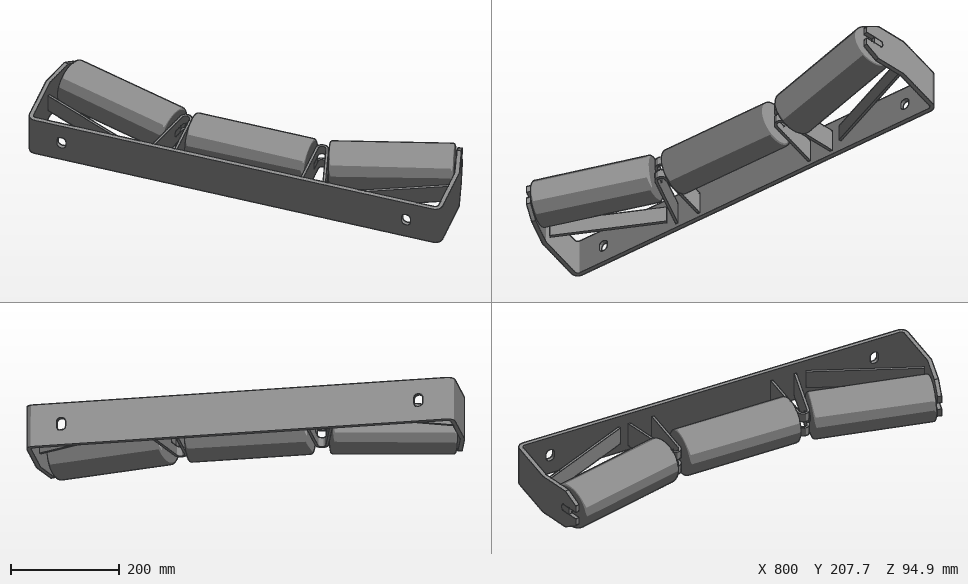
import cadquery as cq
import math


trough_angle = 15.0

frame_length = 800.0
frame_height = 82.0
frame_thickness = 8.0
corner_radius = 14.0
ear_bend_radius = 10.0
side_depth = 110.0
ear_length = 90.0
ear_tip_height = 45.0
ear_taper_length = 29.0
mount_slot_width = 17.0
mount_slot_height = 25.0
mount_slot_corner = 8.0
mount_slot_x = 334.0

roller_diameter = 89.0
roller_length = 230.0
roller_edge_radius = 5.0
roller_y = 101.0
side_shaft_below_bend = 14.0
roller_drop = 6.0
middle_gap = 5.0
side_gap = 3.0
neck_clearance = 0.4
shaft_diameter = 20.0
shaft_flat_width = 14.0

hoop_thickness = 5.0
hoop_height = 50.0
hoop_bend_radius = 12.0
hoop_bend_y = 116.0

brace_thickness = 5.0
brace_height = 36.0
brace_foot_x = 193.0
brace_head_y = 96.0

lean = math.radians(trough_angle)
lean_sin = math.sin(lean)
lean_cos = math.cos(lean)
half_length = frame_length / 2
half_height = frame_height / 2
hoop_bend_x = roller_length / 2 + middle_gap + hoop_bend_radius

bend_to_roller = hoop_bend_radius + side_gap
side_x = hoop_bend_x + bend_to_roller * lean_cos + side_shaft_below_bend * lean_sin
side_y = hoop_bend_y + bend_to_roller * lean_sin - side_shaft_below_bend * lean_cos
side_rise = math.degrees(math.asin(roller_drop / roller_length))

middle_reach = middle_gap + hoop_thickness
side_reach = side_gap + hoop_thickness
side_span = (half_length - side_x) * lean_cos + (side_depth - side_y) * lean_sin
ear_reach = side_span - roller_length
ear_gap = ear_reach - frame_thickness


def both_sides(body):
    """The right-hand body and its mirror image on the left."""
    return [body.val(), body.mirror("YZ").val()]


def in_middle(shape):
    """Place a shape drawn along +X from a roller end as the middle roller."""
    return shape.translate((-roller_length / 2, roller_y, -roller_drop))


def at_side(shape):
    """Place a shape drawn along +X from a roller end as the right-hand side roller."""
    risen = shape.rotate((0, 0, 0), (0, 1, 0), -side_rise)
    leaning = risen.rotate((0, 0, 0), (0, 0, 1), trough_angle)
    return leaning.translate((side_x, side_y, -roller_drop))


def cylinder(diameter, start, end):
    return cq.Workplane("YZ").workplane(offset=start).circle(diameter / 2).extrude(end - start)


def block(start, end, y_low, y_high, height):
    """Block along X, centred on Z = 0."""
    size = (end - start, y_high - y_low, height)
    return cq.Workplane("XY").box(*size).translate(((start + end) / 2, (y_low + y_high) / 2, 0))


def shaft_end(start, end):
    """Length of shaft with two flats, rounded below and square above."""
    radius = shaft_diameter / 2
    round_part = cylinder(shaft_diameter, start, end)
    flats = block(start, end, -radius, 0, shaft_flat_width)
    upper = block(start, end, 0, radius, shaft_flat_width)
    return round_part.intersect(flats).union(upper)


def roller(start_gap, start_reach, end_gap, end_reach):
    """Drum along +X from the origin; its shaft is round in the gaps and flatted beyond them."""
    drum = cylinder(roller_diameter, 0, roller_length).edges().fillet(roller_edge_radius)
    neck_start = neck_clearance - start_gap
    neck_end = roller_length + end_gap - neck_clearance
    neck = cylinder(shaft_diameter, neck_start, neck_end)
    start_flats = shaft_end(-start_reach, neck_start)
    end_flats = shaft_end(neck_end, roller_length + end_reach)
    return drum.union(neck).union(start_flats).union(end_flats)


middle_roller = in_middle(roller(middle_gap, middle_reach, middle_gap, middle_reach))
side_roller = at_side(roller(side_gap, side_reach, ear_gap, ear_reach))


def shaft_slot(start, end):
    """Cutter for a slot that is open upwards and fits the flats of a shaft."""
    seat = cylinder(shaft_diameter, start, end)
    seat = seat.intersect(block(start, end, -shaft_diameter, shaft_diameter, shaft_flat_width))
    return seat.union(block(start, end, 0, ear_length, shaft_flat_width))


def round_upright_edge(body, x, y, radius):
    return body.edges(cq.selectors.NearestToPointSelector((x, y, 0))).fillet(radius)


def strap_half():
    """Right half of the bent strap, without slots."""
    inner_x = half_length - frame_thickness
    inner_bend_y = side_depth - frame_thickness * math.tan(lean / 2)
    outer_tip = (half_length - ear_length * lean_sin, side_depth + ear_length * lean_cos)
    inner_tip = (outer_tip[0] - frame_thickness * lean_cos, outer_tip[1] - frame_thickness * lean_sin)
    strap = (
        cq.Workplane("XY").workplane(offset=-half_height)
        .moveTo(0, 0)
        .lineTo(half_length, 0)
        .lineTo(half_length, side_depth)
        .lineTo(*outer_tip)
        .lineTo(*inner_tip)
        .lineTo(inner_x, inner_bend_y)
        .lineTo(inner_x, frame_thickness)
        .lineTo(0, frame_thickness)
        .close()
        .extrude(frame_height)
    )
    strap = round_upright_edge(strap, half_length, 0, corner_radius)
    strap = round_upright_edge(strap, inner_x, frame_thickness, corner_radius - frame_thickness)
    strap = round_upright_edge(strap, half_length, side_depth, ear_bend_radius)
    strap = round_upright_edge(strap, inner_x, inner_bend_y, ear_bend_radius - frame_thickness)
    return strap


def ear_tapers():
    """Cutters for the two sloping corners of the right ear."""
    ear_plane = cq.Plane(
        origin=(half_length, side_depth, 0), xDir=(-lean_sin, lean_cos, 0), normal=(lean_cos, lean_sin, 0)
    )
    corner = (
        cq.Workplane(ear_plane)
        .moveTo(ear_length, half_height)
        .lineTo(ear_length - ear_taper_length, half_height)
        .lineTo(ear_length, ear_tip_height / 2)
        .close()
        .extrude(-frame_thickness)
    )
    return corner.union(corner.mirror("XY"))


def mount_slot():
    slot = block(mount_slot_x - mount_slot_width / 2, mount_slot_x + mount_slot_width / 2,
                 0, frame_thickness, mount_slot_height)
    return slot.edges("|Y").fillet(mount_slot_corner)


frame_half = strap_half().cut(ear_tapers()).cut(mount_slot())
frame_half = frame_half.cut(at_side(shaft_slot(roller_length, roller_length + ear_reach + frame_thickness)))
frame = frame_half.union(frame_half.mirror("YZ"))


def hoop_outline(radius):
    """Inverted U with one upright and one leaning leg, down into the front plate."""
    leaning_start = (hoop_bend_x + radius * lean_cos, hoop_bend_y + radius * lean_sin)
    foot_run = leaning_start[1] * math.tan(lean)
    return (
        cq.Workplane("XY").workplane(offset=-roller_drop - hoop_height / 2)
        .moveTo(hoop_bend_x - radius, 0)
        .lineTo(hoop_bend_x - radius, hoop_bend_y)
        .threePointArc((hoop_bend_x, hoop_bend_y + radius), leaning_start)
        .lineTo(leaning_start[0] + foot_run, 0)
        .close()
        .extrude(hoop_height)
    )


def hoop():
    strap = hoop_outline(hoop_bend_radius).cut(hoop_outline(hoop_bend_radius - hoop_thickness))
    strap = strap.cut(cq.Workplane("XY").box(frame_length, 2 * frame_thickness, frame_height))
    middle_slot = in_middle(shaft_slot(roller_length, roller_length + middle_gap + hoop_bend_radius))
    side_slot = at_side(shaft_slot(-bend_to_roller, 0))
    return strap.cut(middle_slot).cut(side_slot)


def brace():
    run = half_length - frame_thickness - brace_foot_x
    rise = brace_head_y - frame_thickness
    slope = math.degrees(math.atan2(rise, run))
    bar = block(0, math.hypot(run, rise), 0, brace_thickness, brace_height)
    return bar.rotate((0, 0, 0), (0, 0, 1), slope).translate((brace_foot_x, frame_thickness, 0))


result = cq.Compound.makeCompound(
    [frame.val(), middle_roller.val()]
    + both_sides(side_roller)
    + both_sides(hoop())
    + both_sides(brace())
)